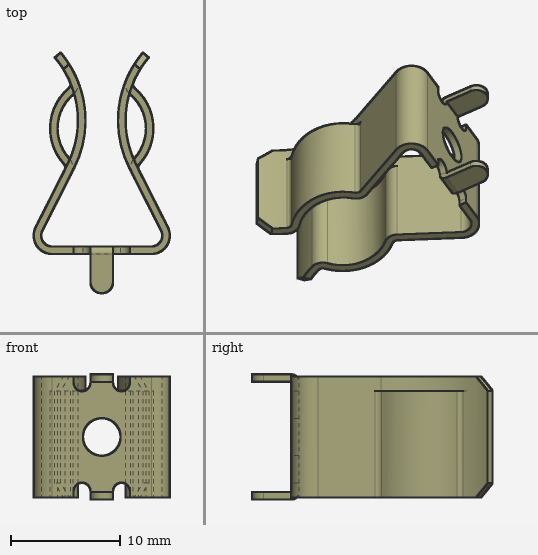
import cadquery as cq
import math

sheet = 0.7
half_sheet = sheet / 2
base_width = 12.5
clip_height = 18.47
strip_width = 11.1
overall_z = 11.5

corner_radius = 1.7
throat_half_gap = 1.48
throat_y = 12.25
arm_radius = 9.6

grip_x = -0.07
grip_y = 11.52
grip_radius = 4.81
blend_radius = 0.5
upper_band = 1.32
tip_chamfer = 1.32

hole_diameter = 3.42
tab_width = 2.1
tab_length = 22.07 - clip_height
notch_width = 1.52
notch_depth = 1.35

half_strip = strip_width / 2
band_bottom = half_strip - upper_band
bend_z = overall_z / 2 - sheet
margin = 0.22
touch_tolerance = 0.0002


def polar(center, radius, angle):
    return (center[0] + radius * math.cos(angle), center[1] + radius * math.sin(angle))


def direction(start, end):
    return math.atan2(end[1] - start[1], end[0] - start[0])


corner = (base_width / 2 - corner_radius, corner_radius)
arm = (throat_half_gap + arm_radius, throat_y)
grip = (grip_x, grip_y)
arm_outer_radius = arm_radius - sheet

flank_normal = direction(corner, arm) - math.acos(
    (corner_radius + arm_outer_radius) / math.dist(corner, arm)
)
tip_angle = math.pi - math.asin((clip_height - throat_y) / arm_radius)

blend_reach = grip_radius + blend_radius
flank_offset = (
    corner_radius
    + blend_radius
    - (grip[0] - corner[0]) * math.cos(flank_normal)
    - (grip[1] - corner[1]) * math.sin(flank_normal)
)
lower_angle = flank_normal - math.acos(flank_offset / blend_reach)
lower_blend = polar(grip, blend_reach, lower_angle)

arm_reach = arm_outer_radius - blend_radius
center_gap = math.dist(grip, arm)
upper_angle = direction(grip, arm) + math.acos(
    (blend_reach**2 + center_gap**2 - arm_reach**2) / (2 * blend_reach * center_gap)
)
upper_blend = polar(grip, blend_reach, upper_angle)
arm_join_angle = direction(arm, upper_blend)

corner_mid = corner_radius - half_sheet
arm_mid = arm_radius - half_sheet
blend_mid = blend_radius + half_sheet
grip_mid = grip_radius - half_sheet

corner_bend = (corner, corner_mid, -math.pi / 2, flank_normal)
plain_bends = [corner_bend, (arm, arm_mid, math.pi + flank_normal, tip_angle)]
bulged_bends = [
    corner_bend,
    (lower_blend, blend_mid, math.pi + flank_normal, math.pi + lower_angle),
    (grip, grip_mid, lower_angle, upper_angle),
    (upper_blend, blend_mid, math.pi + upper_angle, arm_join_angle),
    (arm, arm_mid, arm_join_angle, tip_angle),
]


def run_to_arc(outline, position, center, radius, start, end):
    """Add an arc, led in by a straight run where it does not touch the current position."""
    arc_start = polar(center, radius, start)
    arc_end = polar(center, radius, end)
    if math.dist(position, arc_start) > touch_tolerance:
        outline = outline.lineTo(*arc_start)
    outline = outline.threePointArc(polar(center, radius, (start + end) / 2), arc_end)
    return outline, arc_end


def arm_strip(bends, bottom, top):
    """Half of the clip strip: base plate from X = 0, then the bends joined by straight runs."""
    position = (0, 0)
    outline = cq.Workplane("XY").workplane(offset=bottom).moveTo(*position)
    for center, mid, start, end in bends:
        radius = mid + math.copysign(half_sheet, end - start)
        outline, position = run_to_arc(outline, position, center, radius, start, end)
    for center, mid, start, end in reversed(bends):
        radius = mid - math.copysign(half_sheet, end - start)
        outline, position = run_to_arc(outline, position, center, radius, end, start)
    return outline.lineTo(0, sheet).close().extrude(top - bottom)


def tip_cutter():
    """Corner triangles at the arm tip, cut square through the sheet."""
    tip = polar(arm, arm_mid, tip_angle)
    along_tip = (math.sin(tip_angle), -math.cos(tip_angle), 0)
    through_sheet = (math.cos(tip_angle), math.sin(tip_angle), 0)
    plane = cq.Plane(origin=(tip[0], tip[1], 0), xDir=along_tip, normal=through_sheet)
    reach = tip_chamfer + margin
    cutters = cq.Workplane(plane)
    for side in (1, -1):
        cutters = cutters.polyline([
            (margin, side * (half_strip - reach)),
            (margin, side * (half_strip + margin)),
            (-reach, side * (half_strip + margin)),
        ]).close()
    return cutters.extrude(2 * sheet, both=True)


def notch_cutter(side):
    """Round-bottomed notches flanking a tab, with the plate edge between them removed."""
    edge = half_strip + margin
    notch_radius = notch_width / 2
    round_z = half_strip - notch_depth + notch_radius
    notch_x = (tab_width + notch_width) / 2
    cutter = (
        cq.Workplane("XY")
        .box(tab_width, sheet, edge - bend_z, centered=(True, False, False))
        .translate((0, 0, bend_z))
    )
    for x in (-notch_x, notch_x):
        slot = (
            cq.Workplane("XZ")
            .moveTo(x - notch_radius, edge)
            .lineTo(x - notch_radius, round_z)
            .threePointArc((x, round_z - notch_radius), (x + notch_radius, round_z))
            .lineTo(x + notch_radius, edge)
            .close()
            .extrude(-sheet)
        )
        cutter = cutter.union(slot)
    return cutter if side > 0 else cutter.mirror("XY")


def solder_tab(side):
    """Tab bent outward from the plate edge, with a fully rounded end."""
    tab_z = overall_z / 2
    bend_middle = sheet * math.sqrt(0.5)
    tab = (
        cq.Workplane("YZ")
        .moveTo(sheet, bend_z)
        .threePointArc((bend_middle, bend_z + bend_middle), (0, tab_z))
        .lineTo(-tab_length, tab_z)
        .lineTo(-tab_length, bend_z)
        .close()
        .extrude(tab_width / 2, both=True)
    )
    end_center_y = -tab_length + tab_width / 2
    rounded_end = (
        cq.Workplane("XY")
        .moveTo(-tab_width / 2, sheet)
        .lineTo(-tab_width / 2, end_center_y)
        .threePointArc((0, -tab_length), (tab_width / 2, end_center_y))
        .lineTo(tab_width / 2, sheet)
        .close()
        .extrude(overall_z)
    )
    tab = tab.intersect(rounded_end)
    return tab if side > 0 else tab.mirror("XY")


half_clip = arm_strip(plain_bends, band_bottom, half_strip)
half_clip = half_clip.union(arm_strip(bulged_bends, -half_strip, band_bottom))
half_clip = half_clip.cut(tip_cutter())
result = half_clip.union(half_clip.mirror("YZ"))

result = result.cut(cq.Workplane("XZ").circle(hole_diameter / 2).extrude(-sheet))

for side in (1, -1):
    result = result.cut(notch_cutter(side)).union(solder_tab(side))